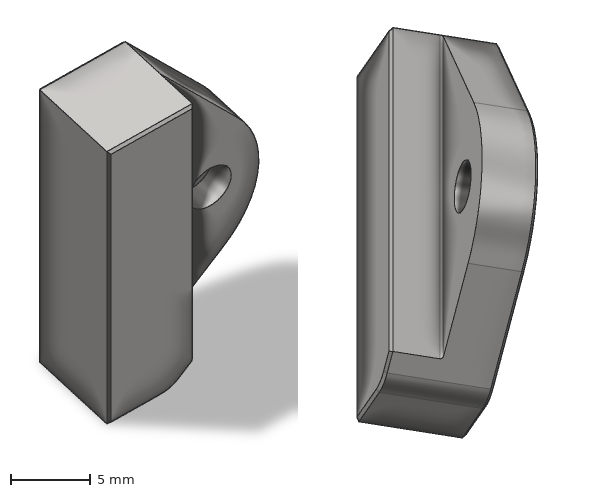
import cadquery as cq
import math

HEIGHT = 24.8
DEPTH = 14.8
BLOCK_WIDTH = 7.3

PLATE_THICKNESS = 3.77
BLOCK_DEPTH = 6.87
EDGE_CHAMFER = 0.2
INNER_FILLET = 0.2

NOSE_RADIUS = 7.94
NOSE_Y = DEPTH - NOSE_RADIUS
NOSE_Z = 11.9
LOWER_CORNER_Y = 5.03
LOWER_CORNER_RADIUS = 2.48

HOLE_Y = 10.89
HOLE_Z = NOSE_Z
HOLE_DIAMETER = 3.4
HEAD_DIAMETER = 6.27
HEAD_WALL = 0.2


def nose_tangent_point(y, z, side):
    """Point where a line from (y, z) touches the nose; side +1 is the upper line, -1 the lower."""
    dy = y - NOSE_Y
    dz = z - NOSE_Z
    to_corner = math.atan2(dz, dy)
    spread = math.acos(NOSE_RADIUS / math.hypot(dy, dz))
    angle = to_corner - side * spread
    return (NOSE_Y + NOSE_RADIUS * math.cos(angle), NOSE_Z + NOSE_RADIUS * math.sin(angle))


def profile_prism(width):
    """Side outline extruded along X, with the lower sloping corner rounded."""
    prism = (
        cq.Workplane("YZ")
        .moveTo(0, 0)
        .lineTo(LOWER_CORNER_Y, 0)
        .lineTo(*nose_tangent_point(LOWER_CORNER_Y, 0, -1))
        .threePointArc((DEPTH, NOSE_Z), nose_tangent_point(BLOCK_DEPTH, HEIGHT, 1))
        .lineTo(BLOCK_DEPTH, HEIGHT)
        .lineTo(0, HEIGHT)
        .close()
        .extrude(width)
    )
    lower_corner = cq.selectors.NearestToPointSelector((width / 2, LOWER_CORNER_Y, 0))
    return prism.edges("|X").edges(lower_corner).fillet(LOWER_CORNER_RADIUS)


def body():
    """Plate with a thicker block along its straight side."""
    plate = profile_prism(PLATE_THICKNESS).faces("<X").chamfer(EDGE_CHAMFER)
    outer_width = BLOCK_WIDTH - PLATE_THICKNESS
    outer_space = cq.Workplane("XY").box(outer_width, BLOCK_DEPTH, HEIGHT, centered=False)
    outer_space = outer_space.translate((PLATE_THICKNESS, 0, 0))
    block = profile_prism(BLOCK_WIDTH).intersect(outer_space)
    block = block.faces(">X").chamfer(EDGE_CHAMFER)
    joined = plate.union(block)
    inner_corner = cq.selectors.NearestToPointSelector((PLATE_THICKNESS, BLOCK_DEPTH, HEIGHT / 2))
    return joined.edges("|Z").edges(inner_corner).fillet(INNER_FILLET)


def screw_hole():
    """Through hole with a 90 degree countersink, a short head wall and a chamfered mouth."""
    hole_radius = HOLE_DIAMETER / 2
    head_radius = HEAD_DIAMETER / 2
    wall_end = EDGE_CHAMFER + HEAD_WALL
    cone_end = wall_end + head_radius - hole_radius
    half_section = [
        (0, 0),
        (0, head_radius + EDGE_CHAMFER),
        (EDGE_CHAMFER, head_radius),
        (wall_end, head_radius),
        (cone_end, hole_radius),
        (PLATE_THICKNESS, hole_radius),
        (PLATE_THICKNESS, 0),
    ]
    cutter = cq.Workplane("XY").polyline(half_section).close().revolve(360, (0, 0), (1, 0))
    return cutter.translate((0, HOLE_Y, HOLE_Z))


result = body().cut(screw_hole())